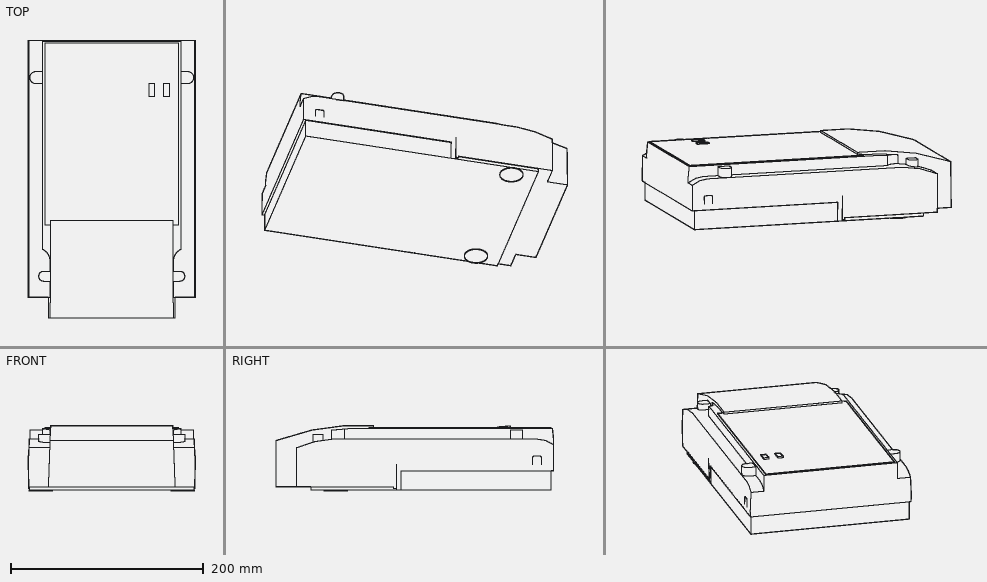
import cadquery as cq

length = 288.0
width = 173.5
height = 68.0
back_y = length / 2
front_y = -length / 2
seam_y = -19.0

shell_front_y = -122.5
shell_bottom_z = 4.3
parting_z = 27.7
shoulder_z = 54.0
rear_flat_y = 127.0
rear_crease_y = 135.7
rear_crease_z = 52.5
rear_edge_z = 48.0
front_flat_y = -85.0
front_crease_y = -103.7
front_crease_z = 51.3
front_edge_z = 45.0
shell_half = width / 2
shoulder_half = 85.5
shell_bottom_half = 86.1

base_half = 85.3
base_bottom_z = 1.0
base_back_y = 141.5
base_front_y = -107.8
ledge_z = 21.0
skirt_back_y = -14.0
lip_front_y = -22.0
lip_z = 2.5
foot_diameter = 24.2
foot_x = 73.5
foot_y = -81.8

deck_half = 71.7
deck_z = 65.0
deck_back_y = 143.0
deck_bend_y = -64.2
deck_cove_y = -72.5
deck_front_y = -86.5
deck_front_half = 64.2
deck_front_z = 63.0
cove_mid_inset_x = 1.7
cove_mid_drop_y = 5.2
cover_half = 69.1
cover_z = 66.0
cover_back_y = 141.5
cover_front_y = -47.3

hood_top_half = 63.5
hood_bottom_half = 65.7
hood_back_y = -42.5
hood_flat_y = -72.5
hood_crease_y = -106.5
hood_crease_z = 63.5
hood_front_z = 52.5

rear_post_y = 105.5
rear_post_nose_x = 85.0
rear_post_diameter = 12.5
rear_post_z = 63.5
front_post_y = -100.5
front_post_nose_x = 75.8
front_post_diameter = 10.5
front_post_z = 58.8

pad_y = 126.8
pad_width = 9.0
pad_z = 36.3
pad_corner = 1.5

wedge_centres_x = (41.5, 56.8)
wedge_width = 5.8
wedge_back_y = 99.0
wedge_front_y = 86.0
wedge_back_z = 67.7
wedge_front_z = 66.5


def block(x_half, y_min, y_max, z_min, z_max):
    """Box centred on X between the given Y and Z limits."""
    centre = (0, (y_min + y_max) / 2, (z_min + z_max) / 2)
    return cq.Workplane("XY").box(2 * x_half, y_max - y_min, z_max - z_min).translate(centre)


def side_profile(points, x_half):
    """(Y, Z) outline extruded symmetrically along X."""
    return cq.Workplane("YZ").polyline(points).close().extrude(x_half, both=True)


def cross_section(right_points):
    """(X, Z) outline of the +X half, mirrored to -X and run along the whole length."""
    left_points = [(-x, z) for x, z in reversed(right_points)]
    outline = cq.Workplane("XZ").polyline(right_points + left_points).close()
    return outline.extrude(length / 2, both=True)


def shell(points, bottom_half, bottom_z):
    """One shell: side walls drafted above and below the parting level, trimmed to a side profile."""
    walls = cross_section([
        (bottom_half, bottom_z),
        (shell_half, parting_z),
        (shoulder_half, shoulder_z),
    ])
    return walls.intersect(side_profile(points, width))


def rear_shell():
    return shell([
        (back_y, ledge_z),
        (back_y, rear_edge_z),
        (rear_crease_y, rear_crease_z),
        (rear_flat_y, shoulder_z),
        (seam_y, shoulder_z),
        (seam_y, base_bottom_z),
        (skirt_back_y, base_bottom_z),
        (skirt_back_y, ledge_z),
    ], base_half, base_bottom_z)


def front_shell():
    return shell([
        (seam_y, shell_bottom_z),
        (seam_y, shoulder_z),
        (front_flat_y, shoulder_z),
        (front_crease_y, front_crease_z),
        (shell_front_y, front_edge_z),
        (shell_front_y, shell_bottom_z),
    ], shell_bottom_half, shell_bottom_z)


def base():
    tray = block(base_half, seam_y, base_back_y, base_bottom_z, ledge_z)
    plate = block(base_half, base_front_y, seam_y, base_bottom_z, shell_bottom_z)
    lip = block(shell_bottom_half, lip_front_y, seam_y, lip_z, shell_bottom_z)
    feet = (
        cq.Workplane("XY")
        .pushPoints([(-foot_x, foot_y), (foot_x, foot_y)])
        .circle(foot_diameter / 2)
        .extrude(base_bottom_z)
    )
    return tray.union(plate).union(lip).union(feet)


def deck(y_min, y_max):
    """Middle block with a sloped back and concave front corners beside the hood, cut to a Y range."""
    cove_mid = (deck_front_half + cove_mid_inset_x, deck_cove_y - cove_mid_drop_y)
    plan = (
        cq.Workplane("XY")
        .moveTo(-deck_half, back_y)
        .lineTo(deck_half, back_y)
        .lineTo(deck_half, deck_cove_y)
        .threePointArc(cove_mid, (deck_front_half, deck_front_y))
        .lineTo(-deck_front_half, deck_front_y)
        .threePointArc((-cove_mid[0], cove_mid[1]), (-deck_half, deck_cove_y))
        .close()
        .extrude(height)
    )
    profile = side_profile([
        (back_y, parting_z),
        (back_y, shoulder_z),
        (deck_back_y, deck_z),
        (deck_bend_y, deck_z),
        (deck_front_y, deck_front_z),
        (deck_front_y, parting_z),
    ], width)
    cover = block(cover_half, cover_front_y, cover_back_y, shoulder_z, cover_z)
    whole = plan.intersect(profile).union(cover)
    return whole.intersect(block(deck_half, y_min, y_max, parting_z, height))


def hood():
    walls = cross_section([(hood_bottom_half, shell_bottom_z), (hood_top_half, height)])
    profile = side_profile([
        (front_y, shell_bottom_z),
        (front_y, hood_front_z),
        (hood_crease_y, hood_crease_z),
        (hood_flat_y, height),
        (hood_back_y, height),
        (hood_back_y, shell_bottom_z),
    ], width)
    return walls.intersect(profile)


def post_pair(y, nose_x, diameter, top_z):
    """Bar across the part with round ends; only its two noses stand clear of the body."""
    return (
        cq.Workplane("XY", origin=(0, y, parting_z))
        .slot2D(2 * nose_x, diameter)
        .extrude(top_z - parting_z)
    )


def latch_pads():
    """Upright pads that stay flush with the widest level while the walls lean in."""
    pads = block(shell_half, pad_y - pad_width / 2, pad_y + pad_width / 2, parting_z, pad_z)
    return pads.edges("|X and >Z").fillet(pad_corner)


def wedges():
    profile = [
        (wedge_front_y, shoulder_z),
        (wedge_front_y, wedge_front_z),
        (wedge_back_y, wedge_back_z),
        (wedge_back_y, shoulder_z),
    ]
    bar = side_profile(profile, wedge_width / 2)
    first, second = (bar.translate((x, 0, 0)) for x in wedge_centres_x)
    return first.union(second)


features = [
    front_shell(),
    base(),
    deck(seam_y, back_y),
    deck(deck_front_y, seam_y),
    hood(),
    post_pair(rear_post_y, rear_post_nose_x, rear_post_diameter, rear_post_z),
    post_pair(front_post_y, front_post_nose_x, front_post_diameter, front_post_z),
    latch_pads(),
    wedges(),
]

result = rear_shell()
for feature in features:
    result = result.union(feature, clean=False)